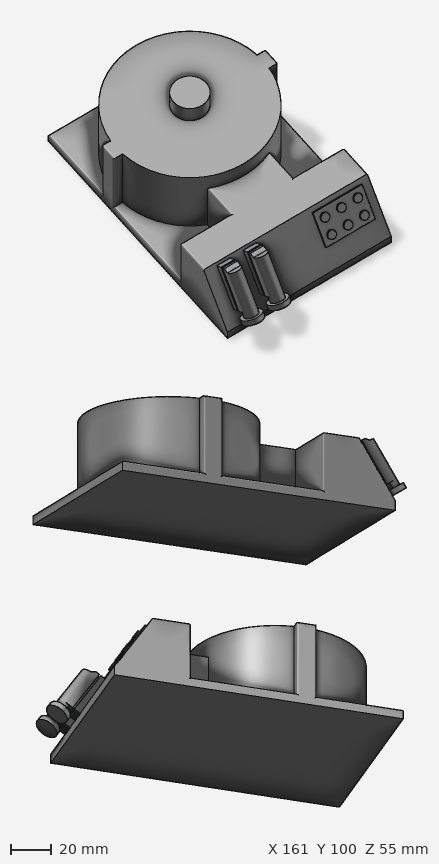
import cadquery as cq
import math

BASE_LEFT = -50.0
BASE_RIGHT = 100.0
WIDTH = 100.0
BASE_HEIGHT = 5.0
EDGE_ROUND = 1.0

DRUM_RADIUS = 45.0
DRUM_TOP = 45.0
SHAFT_RADIUS = 10.0
SHAFT_TOP = 55.0
RIB_WIDTH = 10.0

BLOCK_LEFT = 60.3
BLOCK_TOP = 35.0
SLOPE_START = 80.0
ARM_WIDTH = 38.0

PAD_DOWN = 3.0
PAD_LENGTH = 20.0
PAD_WIDTH = 30.0
PAD_THICKNESS = 1.0
PAD_Y = 30.0
BUTTON_PITCH = 10.0
BUTTON_ROWS = 3
BUTTON_COLUMNS = 2
BUTTON_RADIUS = 2.5
BUTTON_HEIGHT = 1.0

FITTING_Y = (-22.5, -38.5)
FITTING_RADIUS = 4.0
FITTING_TOP = 1.75
FITTING_BOTTOM = 26.75
FOOT_LIFT = 4.0
NECK_LIFT = 5.0
NECK_INSET = 0.7
STEP_LIFT = 7.2
AXIS_LIFT = 9.2
FLANGE_RADIUS = 6.0
FLANGE_DOWN = 30.0
FLANGE_THICKNESS = 3.0

TOLERANCE = 0.01

SLOPE_DROP = BLOCK_TOP - BASE_HEIGHT
SLOPE_RUN = BASE_RIGHT - SLOPE_START
SLOPE_LENGTH = math.hypot(SLOPE_RUN, SLOPE_DROP)
SLOPE_NORMAL = (SLOPE_DROP / SLOPE_LENGTH, 0, SLOPE_RUN / SLOPE_LENGTH)
DOWN_SLOPE = (SLOPE_RUN / SLOPE_LENGTH, 0, -SLOPE_DROP / SLOPE_LENGTH)


def slope_point(down, y, lift):
    """Global point at a distance down the slope and a lift square to it."""
    return (
        SLOPE_START + down * DOWN_SLOPE[0] + lift * SLOPE_NORMAL[0],
        y,
        BLOCK_TOP + down * DOWN_SLOPE[2] + lift * SLOPE_NORMAL[2],
    )


def slope_face(y):
    """Workplane on the sloped face: local X runs down the slope, local Y is global Y."""
    return cq.Workplane(cq.Plane(slope_point(0, y, 0), DOWN_SLOPE, SLOPE_NORMAL))


def slope_section(down, y):
    """Workplane square to the slope direction: local X is the lift, local Y is global -Y."""
    return cq.Workplane(cq.Plane(slope_point(down, y, 0), SLOPE_NORMAL, DOWN_SLOPE))


def box(x_min, x_max, width, top):
    """Box standing on Z = 0, centred on Y = 0."""
    start = cq.Workplane("XY", origin=(x_min, 0, 0))
    return start.box(x_max - x_min, width, top, centered=(False, True, False))


def is_rounded(edge):
    """True for the frame edges that carry the small round."""
    centre = edge.Center()
    bounds = edge.BoundingBox()
    on_side = bounds.ylen < TOLERANCE and abs(abs(centre.y) - WIDTH / 2) < TOLERANCE
    side_outline = on_side and centre.z > BASE_HEIGHT - TOLERANCE and centre.x < SLOPE_START
    level_with_block = bounds.zlen < TOLERANCE and abs(centre.z - BLOCK_TOP) < TOLERANCE
    past_rib = centre.x > RIB_WIDTH / 2 + TOLERANCE
    before_slope = centre.x < SLOPE_START - TOLERANCE
    block_outline = level_with_block and past_rib and before_slope
    base_end = abs(centre.x - BASE_LEFT) < TOLERANCE and abs(centre.z - BASE_HEIGHT) < TOLERANCE
    return side_outline or block_outline or base_end


def make_frame():
    """Base, ribs, arm and console block with their rounded edges."""
    console = (
        cq.Workplane("XZ", origin=(0, WIDTH / 2, 0))
        .moveTo(BLOCK_LEFT, 0)
        .lineTo(BASE_RIGHT, 0)
        .lineTo(BASE_RIGHT, BASE_HEIGHT)
        .lineTo(SLOPE_START, BLOCK_TOP)
        .lineTo(BLOCK_LEFT, BLOCK_TOP)
        .close()
        .extrude(WIDTH)
    )
    frame = (
        box(BASE_LEFT, BASE_RIGHT, WIDTH, BASE_HEIGHT)
        .union(box(-RIB_WIDTH / 2, RIB_WIDTH / 2, WIDTH, DRUM_TOP))
        .union(box(0, BLOCK_LEFT, ARM_WIDTH, BLOCK_TOP))
        .union(console)
    )

    edges = [edge for edge in frame.edges().vals() if is_rounded(edge)]
    return frame.newObject(edges).fillet(EDGE_ROUND)


def make_keypad():
    """Raised pad with its grid of round buttons."""
    pad_centre = PAD_DOWN + PAD_LENGTH / 2
    pad = slope_face(PAD_Y).center(pad_centre, 0).rect(PAD_LENGTH, PAD_WIDTH).extrude(PAD_THICKNESS)
    buttons = (
        slope_face(PAD_Y)
        .center(pad_centre, 0)
        .rarray(BUTTON_PITCH, BUTTON_PITCH, BUTTON_COLUMNS, BUTTON_ROWS)
        .circle(BUTTON_RADIUS)
        .extrude(PAD_THICKNESS + BUTTON_HEIGHT)
    )
    return pad.union(buttons)


def make_housing():
    """Frame with the drum, shaft stub and keypad that are one piece with it."""
    drum = cq.Workplane("XY").circle(DRUM_RADIUS).extrude(DRUM_TOP)
    shaft = cq.Workplane("XY").circle(SHAFT_RADIUS).extrude(SHAFT_TOP)
    return make_frame().union(drum).union(shaft).union(make_keypad())


def layer_outline(top, bottom, low, high):
    """Rectangle in side view, as (down, lift) corners."""
    return [(top, low), (top, high), (bottom, high), (bottom, low)]


def make_layer(y, outline, half_width):
    """Prism with a (down, lift) side outline, reaching half_width to both sides of y."""
    side = cq.Plane(slope_point(0, y, 0), DOWN_SLOPE, (0, -1, 0))
    return cq.Workplane(side).polyline(outline).close().extrude(half_width, both=True)


def make_fitting(y):
    """Plug body with a grooved foot, a rounded back and a round flange at its lower end."""
    step_down = FITTING_TOP + AXIS_LIFT - STEP_LIFT
    inset_top = FITTING_TOP + NECK_INSET
    inset_bottom = FITTING_BOTTOM - NECK_INSET
    foot = make_layer(y, layer_outline(FITTING_TOP, FITTING_BOTTOM, 0, FOOT_LIFT), FITTING_RADIUS)
    neck = make_layer(
        y,
        layer_outline(inset_top, inset_bottom, FOOT_LIFT, NECK_LIFT),
        FITTING_RADIUS - NECK_INSET,
    )
    slab_outline = [
        (FITTING_TOP, NECK_LIFT),
        (FITTING_TOP, STEP_LIFT),
        (step_down, AXIS_LIFT),
        (FITTING_BOTTOM, AXIS_LIFT),
        (FITTING_BOTTOM, NECK_LIFT),
    ]
    slab = make_layer(y, slab_outline, FITTING_RADIUS)
    above_step = make_layer(
        y,
        layer_outline(step_down, FLANGE_DOWN, STEP_LIFT, AXIS_LIFT + FITTING_RADIUS),
        FITTING_RADIUS,
    )
    back = (
        slope_section(step_down, y)
        .center(AXIS_LIFT, 0)
        .circle(FITTING_RADIUS)
        .extrude(FLANGE_DOWN - step_down)
        .intersect(above_step)
    )
    flange = (
        slope_section(FLANGE_DOWN, y)
        .center(AXIS_LIFT, 0)
        .circle(FLANGE_RADIUS)
        .extrude(FLANGE_THICKNESS)
    )
    return foot.union(neck).union(slab).union(back).union(flange)


housing = make_housing()
fittings = [make_fitting(y) for y in FITTING_Y]

result = cq.Compound.makeCompound([housing.val(), *[fitting.val() for fitting in fittings]])